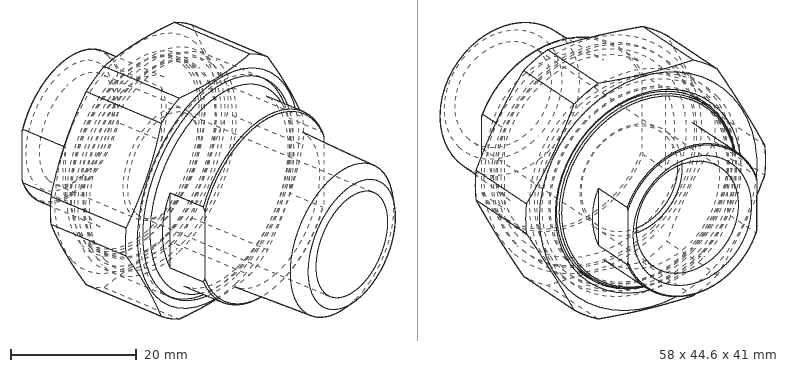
import cadquery as cq
import math

overall_length = 58.0

nut_start = 13.5
nut_end = 30.5
nut_across_flats = 41.0
nut_corner_diameter = 44.65
nut_face_diameter = 40.5
nut_chamfer_angle = 20.0
nut_lip_bore = 33.5
nut_lip_thickness = 2.9
nut_lip_chamfer = 0.5
nut_thread_diameter = 37.9

tail_diameter = 26.0
tail_bore = 19.0
tail_mouth_diameter = 22.05
tail_mouth_depth = 1.5
tail_end_chamfer = 0.2
tail_flat_offset = 12.0
tail_flat_length = 9.0
collar_start = 13.35
collar_diameter = 33.0
collar_chamfer = 0.3
collar_fillet = 0.4
retaining_flange_diameter = 36.0
retaining_flange_thickness = 2.3

body_bore = 18.0
shoulder_x = 31.05
shoulder_chamfer = 1.2
barrel_diameter = 33.0
barrel_end = 40.0
barrel_chamfer = 0.3
barrel_fillet = 0.7
barrel_flat_offset = 14.95
barrel_flat_start = 32.9
spigot_base_diameter = 26.9
spigot_tip_diameter = 26.0
spigot_tip_chamfer = 2.05

flat_end_angle = 12.0

cutter_overshoot = 0.6

lip_end = nut_start + nut_lip_thickness
seat_x = lip_end + retaining_flange_thickness


def revolve_about_x(profile):
    """Turn a closed (x, radius) profile about the X axis."""
    return profile.close().revolve(360, (0, 0, 0), (1, 0, 0))


def add_concave_fillet(profile, x, radius, size):
    """From a radial face at x, blend with a quarter arc onto a diameter at the given radius."""
    lean = size * (1 - math.sqrt(0.5))
    return profile.lineTo(x, radius + size).threePointArc(
        (x + lean, radius + lean), (x + size, radius)
    )


def cut_wrench_flats(part, offset, inner_x, open_x, outer_radius):
    """Cut two opposite flats at +-Y, from inner_x through the open end at open_x."""
    cutter_top = outer_radius + cutter_overshoot
    away_from_opening = math.copysign(1, inner_x - open_x)
    slant = away_from_opening * (cutter_top - offset) * math.tan(math.radians(flat_end_angle))
    for side in (1, -1):
        cutter = (
            cq.Workplane("XY")
            .polyline([
                (inner_x, side * offset),
                (open_x, side * offset),
                (open_x, side * cutter_top),
                (inner_x + slant, side * cutter_top),
            ])
            .close()
            .extrude(outer_radius, both=True)
        )
        part = part.cut(cutter)
    return part


def make_nut():
    corner_radius = nut_corner_diameter / 2
    face_radius = nut_face_diameter / 2
    chamfer = (corner_radius - face_radius) * math.tan(math.radians(nut_chamfer_angle))
    across_corners = nut_across_flats / math.cos(math.radians(30))
    hexagon = (
        cq.Workplane("YZ", origin=(nut_start, 0, 0))
        .polygon(6, across_corners)
        .extrude(nut_end - nut_start)
    )
    turned_envelope = revolve_about_x(
        cq.Workplane("XY")
        .moveTo(nut_start, 0)
        .lineTo(nut_start, face_radius)
        .lineTo(nut_start + chamfer, corner_radius)
        .lineTo(nut_end - chamfer, corner_radius)
        .lineTo(nut_end, face_radius)
        .lineTo(nut_end, 0)
    )
    lip_radius = nut_lip_bore / 2
    thread_radius = nut_thread_diameter / 2
    opening = revolve_about_x(
        cq.Workplane("XY")
        .moveTo(nut_start, 0)
        .lineTo(nut_start, lip_radius + nut_lip_chamfer)
        .lineTo(nut_start + nut_lip_chamfer, lip_radius)
        .lineTo(lip_end, lip_radius)
        .lineTo(lip_end, thread_radius)
        .lineTo(nut_end, thread_radius)
        .lineTo(nut_end, 0)
    )
    return hexagon.intersect(turned_envelope).cut(opening)


def make_tail():
    radius = tail_diameter / 2
    collar_radius = collar_diameter / 2
    flange_radius = retaining_flange_diameter / 2
    fillet_lean = collar_fillet * math.sqrt(0.5)
    fillet_start = collar_start - collar_fillet
    turned = revolve_about_x(
        cq.Workplane("XY")
        .moveTo(0, tail_mouth_diameter / 2)
        .lineTo(0, radius - tail_end_chamfer)
        .lineTo(tail_end_chamfer, radius)
        .lineTo(fillet_start, radius)
        .threePointArc(
            (fillet_start + fillet_lean, radius + collar_fillet - fillet_lean),
            (collar_start, radius + collar_fillet),
        )
        .lineTo(collar_start, collar_radius - collar_chamfer)
        .lineTo(collar_start + collar_chamfer, collar_radius)
        .lineTo(lip_end, collar_radius)
        .lineTo(lip_end, flange_radius)
        .lineTo(seat_x, flange_radius)
        .lineTo(seat_x, tail_bore / 2)
        .lineTo(tail_mouth_depth, tail_bore / 2)
    )
    return cut_wrench_flats(turned, tail_flat_offset, tail_flat_length, 0, radius)


def make_body():
    thread_radius = nut_thread_diameter / 2
    barrel_radius = barrel_diameter / 2
    base_radius = spigot_base_diameter / 2
    tip_radius = spigot_tip_diameter / 2
    profile = (
        cq.Workplane("XY")
        .moveTo(seat_x, 0)
        .lineTo(seat_x, thread_radius)
        .lineTo(shoulder_x - shoulder_chamfer, thread_radius)
        .lineTo(shoulder_x, thread_radius - shoulder_chamfer)
    )
    profile = add_concave_fillet(profile, shoulder_x, barrel_radius, barrel_fillet)
    profile = (
        profile.lineTo(barrel_end - barrel_chamfer, barrel_radius)
        .lineTo(barrel_end, barrel_radius - barrel_chamfer)
    )
    profile = add_concave_fillet(profile, barrel_end, base_radius, barrel_fillet)
    profile = (
        profile.lineTo(overall_length - spigot_tip_chamfer, tip_radius)
        .lineTo(overall_length, tip_radius - spigot_tip_chamfer)
        .lineTo(overall_length, 0)
    )
    turned = revolve_about_x(profile)
    flatted = cut_wrench_flats(
        turned, barrel_flat_offset, barrel_flat_start, barrel_end, barrel_radius
    )
    bore_radius = body_bore / 2
    entry_radius = tail_bore / 2
    bore = revolve_about_x(
        cq.Workplane("XY")
        .moveTo(seat_x, 0)
        .lineTo(seat_x, entry_radius)
        .lineTo(seat_x + entry_radius - bore_radius, bore_radius)
        .lineTo(overall_length, bore_radius)
        .lineTo(overall_length, 0)
    )
    return flatted.cut(bore)


nut = make_nut()
tail = make_tail()
body = make_body()
result = cq.Compound.makeCompound([nut.val(), tail.val(), body.val()])